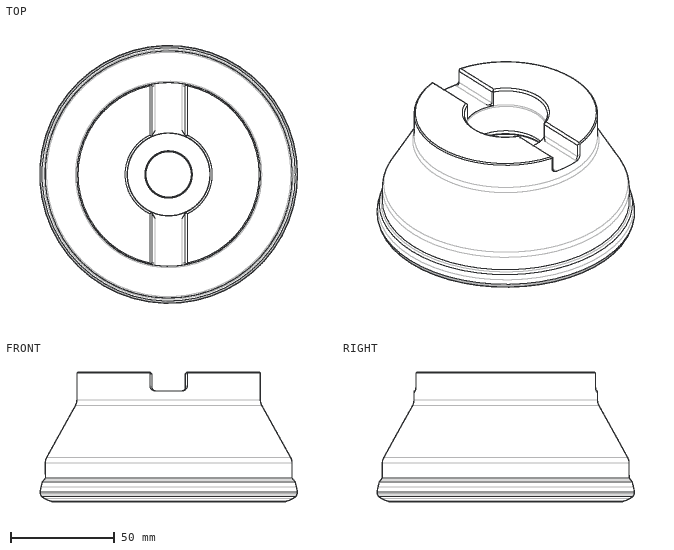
import cadquery as cq
import math

total_height = 63.0
ring_height = 11.6
skirt_top = 20.2
boss_bottom = 48.0

skirt_radius = 119.7 / 2
boss_radius = 89.0 / 2
cone_blend_length = 1.4
boss_chamfer = 0.6

slot_width = 16.0
slot_depth = 9.1
slot_floor = total_height - slot_depth
slot_floor_fillet = 1.5
slot_rim_chamfer = 1.1
slot_inner_chamfer = 0.5
flare_start = 42.9
flare_length = 1.9
flare_widening = 3.1

upper_bore_radius = 40.2 / 2
bore_radius = 40 / 2
bore_rim_chamfer = 1.0
bore_step_length = 0.9
groove_top = 38.7
groove_depth = 1.5
groove_flank_height = 2.7
groove_wall_height = 0.4
bore_floor = groove_top - 2 * groove_flank_height - groove_wall_height
hole_radius = 22.0 / 2
hole_chamfer = 0.5

ring_radius = 62.5
ring_base_radius = 56.3
ring_belly = [
    (58.5, 0.7),
    (60.2, 1.6),
    (61.7, 2.6),
    (62.1, 3.4),
    (62.3, 4.1),
    (ring_radius, 4.9),
    (62.0, 7.1),
    (61.3, 9.7),
]
ring_shoulder = (60.5, 10.7)


def revolve_profile(profile):
    return profile.close().revolve(360, (0, 0, 0), (0, 1, 0))


def make_blank():
    """Revolved skirt, cone and boss, with the cone blended into both cylinders."""
    profile = (
        cq.Workplane("XZ")
        .moveTo(0, ring_height)
        .lineTo(skirt_radius, ring_height)
        .lineTo(skirt_radius, skirt_top)
        .lineTo(boss_radius, boss_bottom)
        .lineTo(boss_radius, total_height - boss_chamfer)
        .lineTo(boss_radius - boss_chamfer, total_height)
        .lineTo(0, total_height)
    )
    blank = revolve_profile(profile)
    cone_ends = [
        edge for edge in blank.edges("%CIRCLE").vals()
        if min(abs(edge.Center().z - skirt_top), abs(edge.Center().z - boss_bottom)) < 0.01
    ]
    cone_angle = math.atan2(skirt_radius - boss_radius, boss_bottom - skirt_top)
    cone_fillet = cone_blend_length / math.tan(cone_angle / 2)
    return blank.newObject(cone_ends).fillet(cone_fillet)


def make_bore():
    """Revolved bore from the top face down through the floor hole."""
    groove_radius = bore_radius + groove_depth
    profile = (
        cq.Workplane("XZ")
        .moveTo(0, 0)
        .lineTo(hole_radius, 0)
        .lineTo(hole_radius, bore_floor - hole_chamfer)
        .lineTo(hole_radius + hole_chamfer, bore_floor)
        .lineTo(bore_radius, bore_floor)
        .lineTo(groove_radius, bore_floor + groove_flank_height)
        .lineTo(groove_radius, groove_top - groove_flank_height)
        .lineTo(bore_radius, groove_top)
        .lineTo(bore_radius, slot_floor - bore_step_length)
        .lineTo(upper_bore_radius, slot_floor)
        .lineTo(upper_bore_radius, total_height)
        .lineTo(0, total_height)
    )
    return revolve_profile(profile)


def make_bore_rim():
    """Conical cut that chamfers the top rim of the bore."""
    profile = (
        cq.Workplane("XZ")
        .moveTo(0, total_height - bore_rim_chamfer)
        .lineTo(upper_bore_radius, total_height - bore_rim_chamfer)
        .lineTo(upper_bore_radius + bore_rim_chamfer, total_height)
        .lineTo(0, total_height)
    )
    return revolve_profile(profile)


def make_slot_rim():
    """Tapered cut that chamfers the two long top edges of the slot."""
    return (
        cq.Workplane("XZ")
        .moveTo(-slot_width / 2, total_height - slot_rim_chamfer)
        .lineTo(slot_width / 2, total_height - slot_rim_chamfer)
        .lineTo(slot_width / 2 + slot_rim_chamfer, total_height)
        .lineTo(-slot_width / 2 - slot_rim_chamfer, total_height)
        .close()
        .extrude(1.5 * boss_radius, both=True)
    )


def slot_section(distance, widening):
    """Wire of the slot cross section at a distance along Y; the flat floor keeps its width."""
    half_width = slot_width / 2 + widening
    fillet = slot_floor_fillet + widening
    floor_half = half_width - fillet
    fillet_end = slot_floor + fillet
    mid_offset = fillet * math.sqrt(0.5)
    mid_x = floor_half + mid_offset
    mid_z = fillet_end - mid_offset
    return (
        cq.Workplane("XZ", origin=(0, distance, 0))
        .moveTo(-half_width, total_height)
        .lineTo(-half_width, fillet_end)
        .threePointArc((-mid_x, mid_z), (-floor_half, slot_floor))
        .lineTo(floor_half, slot_floor)
        .threePointArc((mid_x, mid_z), (half_width, fillet_end))
        .lineTo(half_width, total_height)
        .close()
        .val()
    )


def make_slot_flare(side):
    """Flared slot mouth on the +Y (side = 1) or -Y (side = -1) end."""
    inner = slot_section(side * flare_start, 0)
    outer = slot_section(side * (flare_start + flare_length), flare_widening)
    return cq.Workplane(obj=cq.Solid.makeLoft([inner, outer], True))


def make_cutter_body():
    slot = cq.Workplane("XY", origin=(0, 0, total_height)).box(slot_width, 3 * boss_radius, 2 * slot_depth)
    body = make_blank().cut(make_bore()).cut(slot)

    inner_corners = [
        edge for edge in body.edges("|Z").vals()
        if edge.Center().z > slot_floor and math.hypot(edge.Center().x, edge.Center().y) < boss_radius / 2
    ]
    body = body.newObject(inner_corners).chamfer(slot_inner_chamfer)
    floor_corners = [
        edge for edge in body.edges("|Y").vals()
        if abs(edge.Center().z - slot_floor) < 0.01
    ]
    body = body.newObject(floor_corners).fillet(slot_floor_fillet)

    body = body.cut(make_bore_rim()).cut(make_slot_rim())
    for side in (-1, 1):
        body = body.cut(make_slot_flare(side))
    return body


def make_base_ring():
    """Revolved ring under the skirt, with the through hole continuing down its centre."""
    profile = cq.Workplane("XZ").moveTo(hole_radius, 0).lineTo(ring_base_radius, 0)
    for radius, height in ring_belly:
        profile = profile.lineTo(radius, height)
    profile = (
        profile
        .lineTo(*ring_shoulder)
        .lineTo(skirt_radius, ring_height)
        .lineTo(hole_radius, ring_height)
    )
    return revolve_profile(profile)


cutter_body = make_cutter_body()
base_ring = make_base_ring()

result = cq.Compound.makeCompound([cutter_body.solids().val(), base_ring.val()])